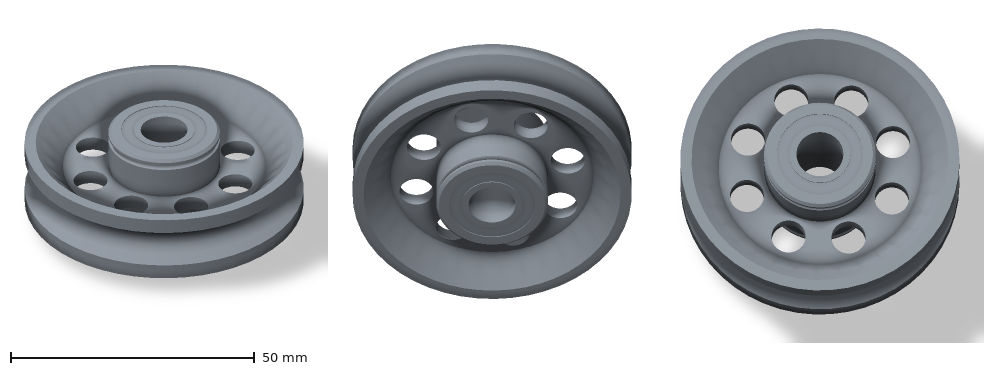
import cadquery as cq
import math

WHEEL_RADIUS = 28.6
WHEEL_WIDTH = 14.3
RIM_INNER_RADIUS = 26.3
WEB_RADIUS = 20.75
WEB_THICKNESS = 3.0

GROOVE_MOUTH_WIDTH = 8.0
GROOVE_BOTTOM_RADIUS = 23.85
GROOVE_ROUND_RADIUS = 1.6

HOLE_COUNT = 8
HOLE_DIAMETER = 7.0
HOLE_CIRCLE_RADIUS = 16.05

BEARING_RADIUS = 11.45
BEARING_WIDTH = 20.65
BORE_DIAMETER = 9.6
EDGE_CHAMFER = 0.6
SEAL_INNER_RADIUS = 6.25
SEAL_OUTER_RADIUS = 8.8
SEAL_RECESS = 0.2

RING_GROOVE_WIDTH = 1.15
RING_GROOVE_DEPTH = 1.0
RING_GROOVE_INSET = 1.7


def revolve_about_z(profile):
    """Revolve a closed XZ profile around the Z axis."""
    return profile.close().revolve(360, (0, 0, 0), (0, 1, 0))


def centered_cylinder(radius, height):
    """Cylinder on the Z axis, centered on the XY plane."""
    return cq.Workplane("XY").cylinder(height, radius)


def belt_groove():
    """Ring removed from the rim to leave the V-shaped belt groove."""
    half_mouth = GROOVE_MOUTH_WIDTH / 2
    round_center = GROOVE_BOTTOM_RADIUS + GROOVE_ROUND_RADIUS
    corner_distance = math.hypot(WHEEL_RADIUS - round_center, half_mouth)
    corner_angle = math.atan2(half_mouth, WHEEL_RADIUS - round_center)
    tangent_angle = corner_angle + math.acos(GROOVE_ROUND_RADIUS / corner_distance)
    tangent_radius = round_center + GROOVE_ROUND_RADIUS * math.cos(tangent_angle)
    tangent_z = GROOVE_ROUND_RADIUS * math.sin(tangent_angle)
    profile = (
        cq.Workplane("XZ")
        .moveTo(WHEEL_RADIUS, -half_mouth)
        .lineTo(tangent_radius, -tangent_z)
        .threePointArc((GROOVE_BOTTOM_RADIUS, 0), (tangent_radius, tangent_z))
        .lineTo(WHEEL_RADIUS, half_mouth)
    )
    return revolve_about_z(profile)


def dish(side):
    """Conical recess between rim and web; side is +1 for the top, -1 for the bottom."""
    rim_z = side * WHEEL_WIDTH / 2
    web_z = side * WEB_THICKNESS / 2
    profile = cq.Workplane("XZ").polyline([
        (0, web_z),
        (WEB_RADIUS, web_z),
        (RIM_INNER_RADIUS, rim_z),
        (0, rim_z),
    ])
    return revolve_about_z(profile)


def make_wheel():
    """Grooved wheel with dished sides, lightening holes and a bearing seat."""
    wheel = centered_cylinder(WHEEL_RADIUS, WHEEL_WIDTH)
    wheel = wheel.cut(belt_groove())
    for side in (1, -1):
        wheel = wheel.cut(dish(side))
    holes = (
        cq.Workplane("XY")
        .polarArray(HOLE_CIRCLE_RADIUS, 0, 360, HOLE_COUNT)
        .cylinder(WEB_THICKNESS, HOLE_DIAMETER / 2)
    )
    seat = centered_cylinder(BEARING_RADIUS, WEB_THICKNESS)
    return wheel.cut(holes).cut(seat)


def ring_groove(side):
    """V-shaped retaining ring groove at one end of the bearing."""
    middle_z = side * (BEARING_WIDTH / 2 - RING_GROOVE_INSET)
    profile = cq.Workplane("XZ").polyline([
        (BEARING_RADIUS, middle_z - RING_GROOVE_WIDTH / 2),
        (BEARING_RADIUS - RING_GROOVE_DEPTH, middle_z),
        (BEARING_RADIUS, middle_z + RING_GROOVE_WIDTH / 2),
    ])
    return revolve_about_z(profile)


def seal_recess(side):
    """Shallow ring-shaped recess in one end face of the bearing."""
    return (
        cq.Workplane("XY", origin=(0, 0, side * BEARING_WIDTH / 2))
        .circle(SEAL_OUTER_RADIUS)
        .circle(SEAL_INNER_RADIUS)
        .extrude(-side * SEAL_RECESS)
    )


def make_bearing():
    """Bearing with chamfered ends, a through bore, ring grooves and seal recesses."""
    bearing = (
        centered_cylinder(BEARING_RADIUS, BEARING_WIDTH)
        .faces("|Z")
        .edges()
        .chamfer(EDGE_CHAMFER)
    )
    bore = centered_cylinder(BORE_DIAMETER / 2, BEARING_WIDTH)
    bearing = bearing.cut(bore)
    for side in (1, -1):
        bearing = bearing.cut(ring_groove(side)).cut(seal_recess(side))
    return bearing


wheel = make_wheel()
bearing = make_bearing()

result = cq.Compound.makeCompound([wheel.val(), bearing.val()])